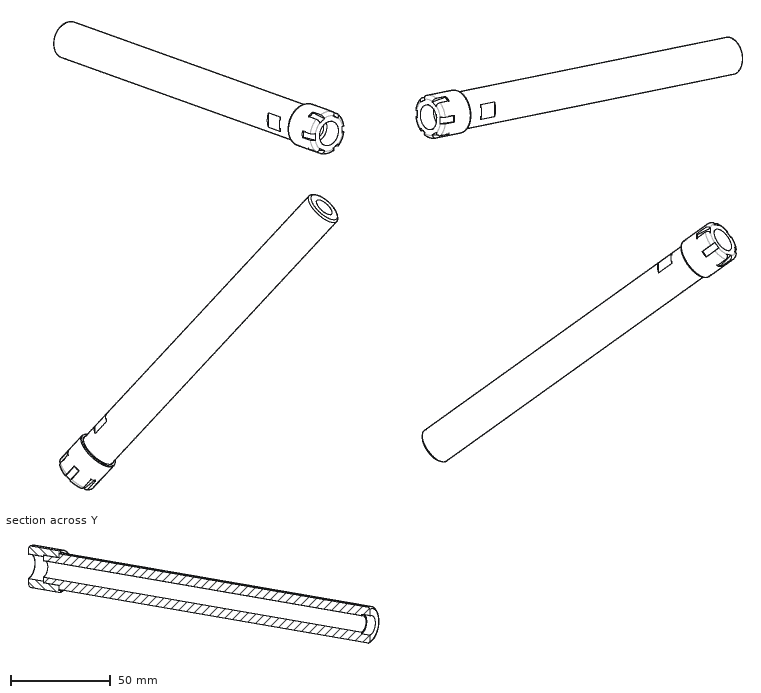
import cadquery as cq

TOTAL_LENGTH = 200.0
REAR_X = -TOTAL_LENGTH / 2
FRONT_X = TOTAL_LENGTH / 2

SHANK_DIAMETER = 19.0
REAR_CHAMFER = 1.0
NOSE_DIAMETER = 14.8
NOSE_LENGTH = 10.0
BORE_DIAMETER = 8.5
REAR_BORE_DIAMETER = 10.0
REAR_BORE_DEPTH = 5.0

FLAT_SPACING = 17.5
FLAT_LENGTH = 9.2
FLAT_TO_NUT = 8.2

NUT_DIAMETER = 22.0
NUT_LENGTH = 18.8
NUT_REAR_CHAMFER_LENGTH = 0.5
NUT_REAR_CHAMFER_HEIGHT = 0.2
NUT_FRONT_FILLET_RADIUS = 1.8
NUT_REAR_BORE_DIAMETER = 19.5
NUT_REAR_BORE_DEPTH = 1.0
NUT_OPENING_DIAMETER = 12.5

SLOT_COUNT = 6
SLOT_WIDTH = 3.5
SLOT_LENGTH = 7.8
SLOT_REAR_FLOOR_RADIUS = 10.2
SLOT_FRONT_FLOOR_RADIUS = 8.8

NUT_REAR_X = FRONT_X - NUT_LENGTH
SHOULDER_X = NUT_REAR_X + NUT_REAR_BORE_DEPTH
NOSE_FRONT_X = NUT_REAR_X + NOSE_LENGTH


def cylinder(start_x, length, diameter):
    """Solid cylinder along +X, starting at start_x."""
    return cq.Workplane("YZ", origin=(start_x, 0, 0)).circle(diameter / 2).extrude(length)


def revolve_about_x(points):
    """Solid of revolution of an (x, radius) outline around the X axis."""
    return cq.Workplane("XY").polyline(points).close().revolve(360, (0, 0, 0), (1, 0, 0))


def cut_wrench_flats(body):
    """Cut two opposite flats, facing -Y and +Y."""
    center_x = NUT_REAR_X - FLAT_TO_NUT - FLAT_LENGTH / 2
    for side in (-1, 1):
        cutter = cq.Workplane("XY").box(FLAT_LENGTH, SHANK_DIAMETER, SHANK_DIAMETER)
        center_y = side * (FLAT_SPACING + SHANK_DIAMETER) / 2
        body = body.cut(cutter.translate((center_x, center_y, 0)))
    return body


def make_holder():
    """Shank with a chamfered rear rim, wrench flats, a nose and a stepped through bore."""
    body = cylinder(REAR_X, SHOULDER_X - REAR_X, SHANK_DIAMETER)
    body = body.faces("<X").edges().chamfer(REAR_CHAMFER)
    body = body.union(cylinder(SHOULDER_X, NOSE_FRONT_X - SHOULDER_X, NOSE_DIAMETER))
    body = cut_wrench_flats(body)
    body = body.cut(cylinder(REAR_X, TOTAL_LENGTH, BORE_DIAMETER))
    return body.cut(cylinder(REAR_X, REAR_BORE_DEPTH, REAR_BORE_DIAMETER))


def cut_spanner_slots(body):
    """Cut evenly spaced slots, open to the front and rim, with floors sloping inward to the front."""
    slot_rear_x = FRONT_X - SLOT_LENGTH
    slot = (
        cq.Workplane("XY")
        .polyline([
            (slot_rear_x, SLOT_REAR_FLOOR_RADIUS),
            (slot_rear_x, NUT_DIAMETER),
            (FRONT_X, NUT_DIAMETER),
            (FRONT_X, SLOT_FRONT_FLOOR_RADIUS),
        ])
        .close()
        .extrude(SLOT_WIDTH / 2, both=True)
    )
    for index in range(SLOT_COUNT):
        angle = index * 360 / SLOT_COUNT
        body = body.cut(slot.rotate((0, 0, 0), (1, 0, 0), angle))
    return body


def make_nut():
    """Nut with a chamfered rear rim, rounded front rim, stepped recess and front opening."""
    radius = NUT_DIAMETER / 2
    body = revolve_about_x([
        (NUT_REAR_X, 0),
        (NUT_REAR_X, radius - NUT_REAR_CHAMFER_HEIGHT),
        (NUT_REAR_X + NUT_REAR_CHAMFER_LENGTH, radius),
        (FRONT_X, radius),
        (FRONT_X, 0),
    ])
    body = body.faces(">X").edges().fillet(NUT_FRONT_FILLET_RADIUS)
    body = cut_spanner_slots(body)
    body = body.cut(cylinder(NUT_REAR_X, NUT_REAR_BORE_DEPTH, NUT_REAR_BORE_DIAMETER))
    body = body.cut(cylinder(SHOULDER_X, NOSE_FRONT_X - SHOULDER_X, NOSE_DIAMETER))
    return body.cut(cylinder(NOSE_FRONT_X, FRONT_X - NOSE_FRONT_X, NUT_OPENING_DIAMETER))


holder = make_holder()
nut = make_nut()
result = cq.Compound.makeCompound([holder.val(), nut.val()])